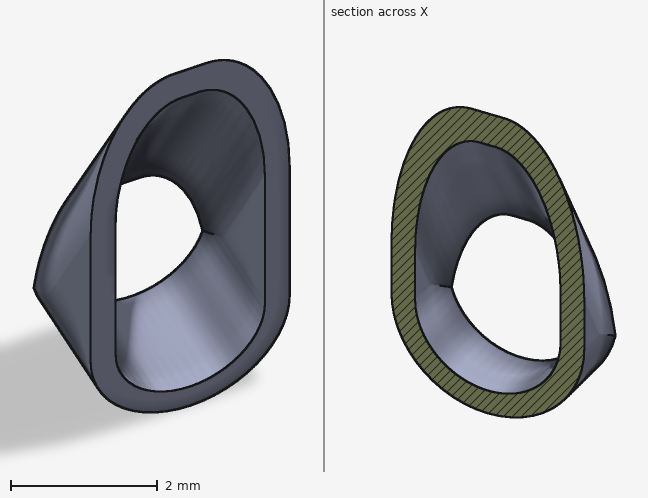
import cadquery as cq
import math

LENGTH = 1.9
HEIGHT = 6.57
OUTER_RADIUS = 1.5
BOTTOM_WALL = 0.375
ROOF_WALL = 0.25
ROOF_ANGLE = 61.0
OUTER_SHOULDER = 1.25

inner_radius = OUTER_RADIUS - BOTTOM_WALL
outer_peak = HEIGHT - OUTER_RADIUS
inner_shoulder = OUTER_SHOULDER - ROOF_WALL
slope = math.radians(ROOF_ANGLE)
inner_peak = outer_peak - ROOF_WALL / math.cos(slope)


def round_bottomed_prism(radius):
    """U-shaped prism along X: half-round below Z = 0, straight sides above."""
    round_part = cq.Workplane("YZ").circle(radius).extrude(-LENGTH)
    straight_part = cq.Workplane("YZ").rect(2 * radius, HEIGHT).extrude(-LENGTH)
    straight_part = straight_part.translate((0, 0, HEIGHT / 2))
    return round_part.union(straight_part)


def round_shouldered_prism(half_width, shoulder, peak):
    """Prism along the roof slope: flat ridge, quarter-round shoulders, straight sides."""
    half_flat = half_width - shoulder
    diagonal = shoulder * math.sqrt(0.5)
    depth = HEIGHT
    reach = 2 * HEIGHT
    section_plane = cq.Plane(
        origin=(0, 0, peak),
        xDir=(0, 1, 0),
        normal=(math.cos(slope), 0, math.sin(slope)),
    )
    return (
        cq.Workplane(section_plane)
        .moveTo(-half_flat, 0)
        .lineTo(half_flat, 0)
        .threePointArc((half_flat + diagonal, diagonal - shoulder), (half_width, -shoulder))
        .lineTo(half_width, -depth)
        .lineTo(-half_width, -depth)
        .lineTo(-half_width, -shoulder)
        .threePointArc((-half_flat - diagonal, diagonal - shoulder), (-half_flat, 0))
        .close()
        .extrude(reach, both=True)
    )


def hood(radius, shoulder, peak):
    """Volume under the sloped roof and inside the round-bottomed prism."""
    return round_bottomed_prism(radius).intersect(round_shouldered_prism(radius, shoulder, peak))


outer_hood = hood(OUTER_RADIUS, OUTER_SHOULDER, outer_peak)
inner_hood = hood(inner_radius, inner_shoulder, inner_peak)
result = outer_hood.cut(inner_hood)